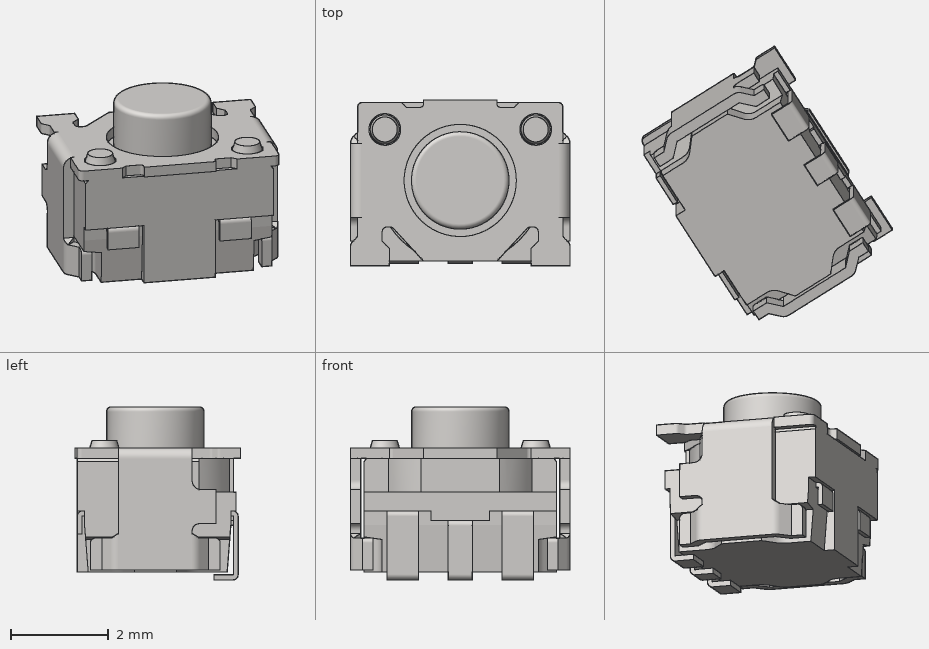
import cadquery as cq
import math


foot_thickness = 0.11
base_bottom = 0.16
shell_bottom = 0.205
terminal_top = 1.415
shelf_top = 1.8
cover_bottom = 2.495
cover_top = 2.71
peg_top = 2.86
button_top = 3.55

sheet = cover_top - cover_bottom
shell_half_width = 2.25
shell_half_depth = 0.755
cover_half_width = 2.105
cover_back = 1.6
cover_back_corner = 0.1
cover_front = -1.65
wall_bend_radius = 0.225

ear_front = -1.75
ear_back = -1.3
ear_inner = 1.45
ear_fillet = 0.09

back_tab_y = 1.65
back_tab_half_width = 0.755
back_notch_depth = 0.1
back_notch_outer = 1.205
back_notch_radius = 0.06

slot_outer = 1.6
slot_end_radius = 0.1
slot_end_width = 0.06
slot_end_y = -0.954
slot_exit_angle = math.pi / 4
slot_step_y = -1.395
slot_front_half_width = 0.755
cover_hole_radius = 1.15

arm_front = -1.245
arm_bottom = 1.155
arm_top = 1.85
arm_upper_fillet = 0.19
arm_lower_fillet = 0.15

leg_angle = math.radians(45)
leg_bend_radius = sheet
leg_flat_x = 2.0
leg_end_y = 1.33
leg_top = 0.86
leg_root_rise = 0.095
leg_corner_radius = 0.1

base_half_width = 1.975
base_back = 1.6
body_chamfer_height = 0.07
body_chamfer_width = 0.055
shelf_front = -1.655
rib_half_width = 0.595
rib_bottom = 1.22
upper_front = -1.605
upper_radius = 1.72
upper_arc_half_width = 1.47
upper_face_half_width = 0.8

taper_top_z = 1.125
wall_front_y = -1.55
wall_back_y = 1.45
back_post_half_width = 0.75
base_taper = 0.075

pocket_wall_x = 1.6
pocket_arc_start = 0.885
pocket_radius = 0.3
pocket_angle = math.radians(50)
pocket_roof_outer_z = 0.885
pocket_roof_inner_z = 0.83

peg_x = 1.546
peg_y = 1.045
peg_top_radius = 0.255
peg_root_radius = 0.3
peg_hole_radius = 0.325

button_radius = 1.0
button_fillet = 0.1

terminal_thickness = 0.1
terminal_front = -1.7
foot_end = -1.2
terminal_bend_radius = 0.11
outer_terminal_x = 1.178
outer_terminal_width = 0.655
center_terminal_width = 0.5
stub_bottom = 0.945


def box(x_range, y_range, z_range):
    """Axis-aligned block between the given limits."""
    size = [high - low for low, high in (x_range, y_range, z_range)]
    corner = (x_range[0], y_range[0], z_range[0])
    return cq.Workplane("XY").box(*size, centered=False).translate(corner)


def mirror_x(shape):
    """The shape joined by its mirror image across the YZ plane."""
    return shape.union(shape.mirror("YZ"))


def extrude_along_x(outline, center_x, width):
    """Extrude a YZ outline symmetrically about center_x."""
    return outline.extrude(width / 2, both=True).translate((center_x, 0, 0))


def make_base():
    """Tapered lower block with its shelf, front rib, back post and upper body."""
    lower = (
        cq.Workplane("YZ")
        .moveTo(wall_front_y, shelf_top)
        .lineTo(wall_front_y, taper_top_z)
        .lineTo(wall_front_y + base_taper, base_bottom)
        .lineTo(wall_back_y - base_taper, base_bottom)
        .lineTo(wall_back_y, taper_top_z)
        .lineTo(wall_back_y, shelf_top)
        .close()
    )
    lower = extrude_along_x(lower, 0, 2 * base_half_width)
    for side in (1, -1):
        lower = lower.cut(make_leg_pocket(side))

    full_width = (-base_half_width, base_half_width)
    shelf = box(full_width, (shelf_front, base_back), (terminal_top, shelf_top))
    rib = box((-rib_half_width, rib_half_width), (shelf_front, 0), (rib_bottom, shelf_top))
    back_post_width = (-back_post_half_width, back_post_half_width)
    back_post = box(back_post_width, (0, base_back), (base_bottom, shelf_top))
    return lower.union(shelf).union(rib).union(back_post).union(make_upper_body())


def make_upper_body():
    """Upper block whose front corners are cut back and rounded about the button axis."""
    arc_outer_y = -math.sqrt(upper_radius**2 - upper_arc_half_width**2)
    arc_inner_y = -math.sqrt(upper_radius**2 - upper_face_half_width**2)
    outline = (
        cq.Workplane("XY", origin=(0, 0, shelf_top))
        .moveTo(0, base_back)
        .lineTo(-base_half_width, base_back)
        .lineTo(-base_half_width, arc_outer_y)
        .lineTo(-upper_arc_half_width, arc_outer_y)
        .radiusArc((-upper_face_half_width, arc_inner_y), -upper_radius)
        .lineTo(-upper_face_half_width, upper_front)
        .lineTo(0, upper_front)
        .close()
    )
    half = outline.extrude(cover_bottom - shelf_top)
    half = half.faces("<X").edges(">Z").chamfer(body_chamfer_height, body_chamfer_width)
    return mirror_x(half)


def make_leg_pocket(end):
    """Recess for the two tucked-in legs at the front (end=-1) or back (end=1)."""
    arc_end = (
        pocket_wall_x + pocket_radius * (1 - math.cos(pocket_angle)),
        pocket_arc_start - pocket_radius * math.sin(pocket_angle),
    )
    beyond = shell_half_width
    plan = (
        cq.Workplane("XY")
        .moveTo(pocket_wall_x, beyond)
        .lineTo(pocket_wall_x, pocket_arc_start)
        .tangentArcPoint(arc_end, relative=False)
        .lineTo(beyond, arc_end[1] - (beyond - arc_end[0]) / math.tan(pocket_angle))
        .lineTo(beyond, beyond)
        .close()
        .extrude(shelf_top)
    )
    slope = (pocket_roof_outer_z - pocket_roof_inner_z) / (base_half_width - pocket_wall_x)
    section = (
        cq.Workplane("XZ")
        .moveTo(pocket_wall_x, 0)
        .lineTo(pocket_wall_x, pocket_roof_inner_z)
        .lineTo(beyond, pocket_roof_inner_z + slope * (beyond - pocket_wall_x))
        .lineTo(beyond, 0)
        .close()
        .extrude(beyond, both=True)
    )
    pocket = mirror_x(plan.intersect(section))
    return pocket if end > 0 else pocket.mirror("XZ")


def make_cover():
    """Flat top sheet with ears, front slots and a projecting back tab."""
    slot_left_arc_x = -slot_outer + slot_end_radius
    slot_right_arc_x = slot_left_arc_x + slot_end_width
    slot_exit = (
        slot_right_arc_x + slot_end_radius * math.sin(slot_exit_angle),
        slot_end_y - slot_end_radius * (1 - math.cos(slot_exit_angle)),
    )
    ear_step = shell_half_width - cover_half_width
    notch_y = cover_back - back_notch_depth
    half = (
        cq.Workplane("XY", origin=(0, 0, cover_bottom))
        .moveTo(0, back_tab_y)
        .lineTo(-back_tab_half_width, back_tab_y)
        .lineTo(-back_tab_half_width, notch_y + back_notch_radius)
        .radiusArc((-back_tab_half_width - back_notch_radius, notch_y), back_notch_radius)
        .lineTo(-back_notch_outer + back_notch_depth, notch_y)
        .lineTo(-back_notch_outer, cover_back)
        .lineTo(-cover_half_width + cover_back_corner, cover_back)
        .radiusArc((-cover_half_width, cover_back - cover_back_corner), -cover_back_corner)
        .lineTo(-cover_half_width, ear_back + ear_step)
        .lineTo(-shell_half_width, ear_back)
        .lineTo(-shell_half_width, ear_front)
        .lineTo(-ear_inner, ear_front)
        .lineTo(-ear_inner, slot_step_y)
        .lineTo(-slot_outer, slot_step_y + slot_outer - ear_inner)
        .lineTo(-slot_outer, slot_end_y - slot_end_radius)
        .radiusArc((slot_left_arc_x, slot_end_y), slot_end_radius)
        .lineTo(slot_right_arc_x, slot_end_y)
        .radiusArc(slot_exit, slot_end_radius)
        .lineTo(-slot_front_half_width, cover_front)
        .lineTo(0, cover_front)
        .close()
        .extrude(sheet)
    )
    ear_corners = cq.selectors.BoxSelector(
        (-shell_half_width - ear_fillet, ear_back - ear_fillet, cover_bottom),
        (-cover_half_width + ear_fillet, ear_back + ear_step + ear_fillet, cover_top),
    )
    cover = mirror_x(half.edges("|Z").edges(ear_corners).fillet(ear_fillet))
    hole = cq.Workplane("XY").circle(cover_hole_radius).extrude(button_top)
    peg_holes = (
        cq.Workplane("XY")
        .pushPoints([(-peg_x, peg_y), (peg_x, peg_y)])
        .circle(peg_hole_radius)
        .extrude(button_top)
    )
    return cover.cut(hole).cut(peg_holes)


def make_side_wall():
    """Left wall bent down from the cover, with its front arm."""
    bend_end_x = -shell_half_width + wall_bend_radius
    inner_bend = wall_bend_radius - sheet
    wall = (
        cq.Workplane("XZ")
        .moveTo(bend_end_x, cover_top)
        .radiusArc((-shell_half_width, cover_top - wall_bend_radius), -wall_bend_radius)
        .lineTo(-shell_half_width, shell_bottom)
        .lineTo(-shell_half_width + sheet, shell_bottom)
        .lineTo(-shell_half_width + sheet, cover_bottom - inner_bend)
        .radiusArc((bend_end_x, cover_bottom), inner_bend)
        .close()
        .extrude(shell_half_depth, both=True)
    )
    root_y = -shell_half_depth
    arm = (
        cq.Workplane("YZ", origin=(-shell_half_width, 0, 0))
        .moveTo(root_y, arm_top + arm_upper_fillet)
        .radiusArc((root_y - arm_upper_fillet, arm_top), arm_upper_fillet)
        .lineTo(arm_front, arm_top)
        .lineTo(arm_front, arm_bottom)
        .lineTo(root_y - arm_lower_fillet, arm_bottom)
        .radiusArc((root_y, arm_bottom - arm_lower_fillet), arm_lower_fillet)
        .close()
        .extrude(sheet)
    )
    return wall.union(arm)


def make_leg():
    """Front left leg: slanting inwards from its bend, then running parallel to the wall."""
    root_y = -shell_half_depth
    inner_wall_x = -shell_half_width + sheet
    bend_end = (
        -shell_half_width + leg_bend_radius * (1 - math.cos(leg_angle)),
        root_y - leg_bend_radius * math.sin(leg_angle),
    )
    outer_corner_y = bend_end[1] - (-leg_flat_x - bend_end[0]) / math.tan(leg_angle)
    inner_corner_y = outer_corner_y + sheet * math.tan(leg_angle / 2)
    plan = (
        cq.Workplane("XY", origin=(0, 0, shell_bottom))
        .moveTo(-shell_half_width, root_y)
        .radiusArc(bend_end, -leg_bend_radius)
        .lineTo(-leg_flat_x, outer_corner_y)
        .lineTo(-leg_flat_x, -leg_end_y)
        .lineTo(-leg_flat_x + sheet, -leg_end_y)
        .lineTo(-leg_flat_x + sheet, inner_corner_y)
        .lineTo(inner_wall_x, root_y)
        .close()
        .extrude(arm_bottom - shell_bottom)
    )
    side = (
        cq.Workplane("YZ", origin=(-shell_half_width, 0, 0))
        .moveTo(root_y, shell_bottom)
        .lineTo(-leg_end_y, shell_bottom)
        .lineTo(-leg_end_y, leg_top - leg_corner_radius)
        .radiusArc((-leg_end_y + leg_corner_radius, leg_top), leg_corner_radius)
        .lineTo(root_y, leg_top)
        .close()
        .extrude(shell_half_width)
    )
    bend = (
        cq.Workplane("XY", origin=(0, 0, leg_top))
        .moveTo(-shell_half_width, root_y)
        .radiusArc(bend_end, -leg_bend_radius)
        .lineTo(inner_wall_x, root_y)
        .close()
        .extrude(leg_root_rise)
    )
    ramp = (
        cq.Workplane("YZ", origin=(-shell_half_width, 0, 0))
        .moveTo(root_y, leg_top)
        .lineTo(bend_end[1], leg_top)
        .lineTo(root_y, leg_top + leg_root_rise)
        .close()
        .extrude(sheet)
    )
    return plan.intersect(side).union(bend.intersect(ramp))


def make_shell():
    front_leg = make_leg()
    left = make_side_wall().union(front_leg).union(front_leg.mirror("XZ"))
    trim = box(
        (-shell_half_width, -shell_half_width + wall_bend_radius),
        (-shell_half_depth, shell_half_depth),
        (cover_bottom, cover_top),
    )
    return make_cover().cut(mirror_x(trim)).union(mirror_x(left))


def make_peg():
    profile = [
        (0, shelf_top),
        (peg_root_radius, shelf_top),
        (peg_root_radius, cover_top),
        (peg_top_radius, peg_top),
        (0, peg_top),
    ]
    return cq.Workplane("XZ").polyline(profile).close().revolve().translate((peg_x, peg_y, 0))


def make_button():
    button = cq.Workplane("XY", origin=(0, 0, shelf_top)).circle(button_radius)
    return button.extrude(button_top - shelf_top).faces(">Z").edges().fillet(button_fillet)


def make_terminal(center_x, width, top):
    """J-shaped terminal leaving the front wall, running down and folding under."""
    inner_y = terminal_front + terminal_thickness
    outline = (
        cq.Workplane("YZ")
        .moveTo(wall_front_y + terminal_thickness, top)
        .lineTo(terminal_front + terminal_bend_radius, top)
        .radiusArc((terminal_front, top - terminal_bend_radius), -terminal_bend_radius)
        .lineTo(terminal_front, terminal_bend_radius)
        .radiusArc((terminal_front + terminal_bend_radius, 0), -terminal_bend_radius)
        .lineTo(foot_end, 0)
        .lineTo(foot_end, foot_thickness)
        .lineTo(inner_y, foot_thickness)
        .lineTo(inner_y, top - terminal_thickness)
        .lineTo(wall_front_y + terminal_thickness, top - terminal_thickness)
        .close()
    )
    return extrude_along_x(outline, center_x, width)


def make_back_stub(center_x):
    """Short hooked terminal end on the back wall."""
    inner_y = base_back - terminal_thickness
    outline = (
        cq.Workplane("YZ")
        .moveTo(wall_back_y - terminal_thickness, terminal_top)
        .lineTo(base_back - terminal_bend_radius, terminal_top)
        .radiusArc((base_back, terminal_top - terminal_bend_radius), terminal_bend_radius)
        .lineTo(base_back, stub_bottom)
        .lineTo(inner_y, stub_bottom)
        .lineTo(inner_y, terminal_top - terminal_thickness)
        .lineTo(wall_back_y - terminal_thickness, terminal_top - terminal_thickness)
        .close()
    )
    return extrude_along_x(outline, center_x, outer_terminal_width)


result = make_base().union(make_shell()).union(make_button()).union(mirror_x(make_peg()))
for terminal_x in (-outer_terminal_x, outer_terminal_x):
    result = result.union(make_terminal(terminal_x, outer_terminal_width, terminal_top))
    result = result.union(make_back_stub(terminal_x))
result = result.union(make_terminal(0, center_terminal_width, rib_bottom))